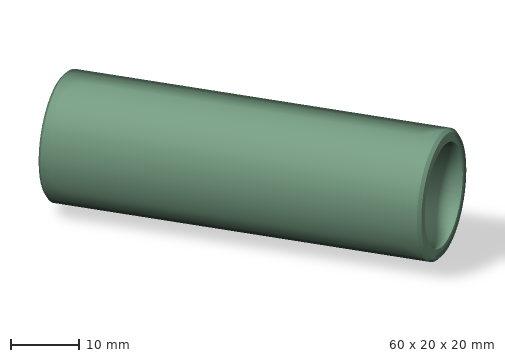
import cadquery as cq

length = 60.0
outer_diameter = 20.0
bore_diameter = 16.0
edge_chamfer = 0.5


def centred_cylinder(diameter):
    """Cylinder of the full part length along X, centred on the origin."""
    end_plane = cq.Workplane("YZ", origin=(-length / 2, 0, 0))
    return end_plane.circle(diameter / 2).extrude(length)


body = centred_cylinder(outer_diameter).faces("<X or >X").edges().chamfer(edge_chamfer)

result = body.cut(centred_cylinder(bore_diameter))